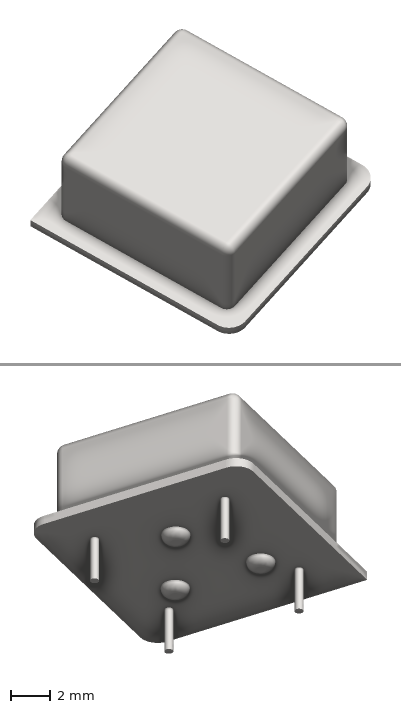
import cadquery as cq
import math

plate_side = 12.7
plate_thickness = 0.5
plate_corner_radius = 1.02

can_side = 10.69
can_height = 4.91
can_edge_radius = 0.51

pin_diameter = 0.46
pin_length = 2.5
pin_spacing = 7.62

bead_diameter = 1.5
bead_height = 0.5
bead_edge_radius = 0.48
bead_spacing = 5.0
bead_triangle_height = bead_spacing * math.sqrt(3) / 2


def make_plate():
    """Square plate with its underside at Z = 0; the (-X, -Y) corner stays sharp to mark pin 1."""
    plate = cq.Workplane("XY").box(plate_side, plate_side, plate_thickness, centered=(True, True, False))
    rounded_corners = plate.edges("|Z and (not (<X and <Y))")
    return rounded_corners.fillet(plate_corner_radius)


def make_can():
    """Closed can on the plate, with rounded upright and top edges."""
    can = (
        cq.Workplane("XY")
        .workplane(offset=plate_thickness)
        .box(can_side, can_side, can_height, centered=(True, True, False))
    )
    return can.edges("|Z or >Z").fillet(can_edge_radius)


def make_pins():
    """Four round pins hanging from the underside of the plate."""
    return (
        cq.Workplane("XY")
        .rect(pin_spacing, pin_spacing, forConstruction=True)
        .vertices()
        .circle(pin_diameter / 2)
        .extrude(-pin_length)
    )


def make_beads():
    """Three flat-bottomed round beads under the plate."""
    centers = [
        (-bead_spacing / 2, -bead_triangle_height / 2),
        (bead_spacing / 2, -bead_triangle_height / 2),
        (0, bead_triangle_height / 2),
    ]
    beads = cq.Workplane("XY").pushPoints(centers).circle(bead_diameter / 2).extrude(-bead_height)
    return beads.faces("<Z").edges().fillet(bead_edge_radius)


result = make_plate().union(make_can()).union(make_pins()).union(make_beads())